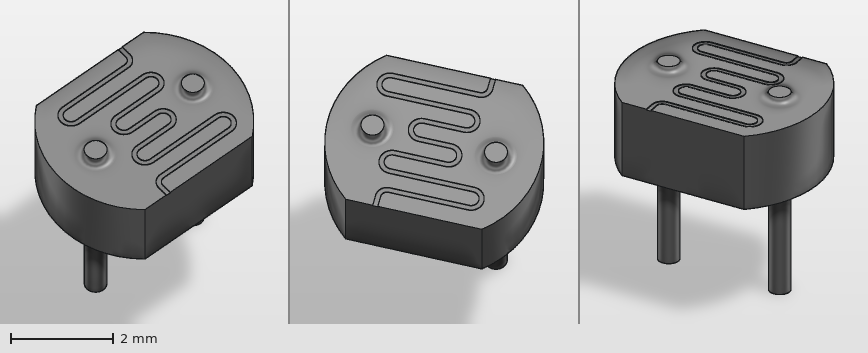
import cadquery as cq
import math

body_diameter = 4.3
body_width = 3.3
body_height = 1.65

lead_diameter = 0.45
lead_spacing = 2.495
lead_drop = 2.648
lead_rise = 0.15
solder_diameter = 0.83

groove_width = 0.102
groove_depth = 0.02
run_pitch = 0.415
corner_radius = 0.18
left_exit_y = 0.78
right_exit_y = -0.775
bend_tips_y = [-1.21, 0.905, -0.55, 0.515, -0.71, 1.36]


def make_body():
    disc = cq.Workplane("XY").circle(body_diameter / 2).extrude(body_height)
    flats = cq.Workplane("XY").rect(body_width, 2 * body_diameter).extrude(body_height)
    return disc.intersect(flats)


def make_lead():
    """Revolved lead with a concave solder fillet tangent to the body's top face."""
    lead_radius = lead_diameter / 2
    solder_radius = solder_diameter / 2
    top = body_height + lead_rise
    fillet_width = solder_radius - lead_radius
    fillet_radius = (fillet_width**2 + lead_rise**2) / (2 * lead_rise)
    half_angle = math.asin(fillet_width / fillet_radius) / 2
    fillet_middle = (
        solder_radius - fillet_radius * math.sin(half_angle),
        body_height + fillet_radius * (1 - math.cos(half_angle)),
    )
    return (
        cq.Workplane("XZ")
        .moveTo(0, -lead_drop)
        .lineTo(lead_radius, -lead_drop)
        .lineTo(lead_radius, body_height)
        .lineTo(solder_radius, body_height)
        .threePointArc(fillet_middle, (lead_radius, top))
        .lineTo(0, top)
        .close()
        .revolve(360, (0, 0, 0), (0, 1, 0))
    )


def make_groove():
    """Constant-width cutter along straight runs joined by U-bends."""
    bend_radius = run_pitch / 2
    first_run_x = -run_pitch * len(bend_tips_y) / 2
    last_run_x = -first_run_x
    path_end_x = body_width / 2 + groove_width
    diagonal = corner_radius * math.sqrt(0.5)

    path = (
        cq.Workplane("XY")
        .moveTo(-path_end_x, left_exit_y)
        .lineTo(first_run_x - corner_radius, left_exit_y)
        .threePointArc(
            (first_run_x - corner_radius + diagonal, left_exit_y - corner_radius + diagonal),
            (first_run_x, left_exit_y - corner_radius),
        )
    )
    for index, tip_y in enumerate(bend_tips_y):
        run_x = first_run_x + index * run_pitch
        toward_tip = -1 if index % 2 == 0 else 1
        bend_y = tip_y - toward_tip * bend_radius
        path = path.lineTo(run_x, bend_y).threePointArc(
            (run_x + bend_radius, tip_y), (run_x + run_pitch, bend_y)
        )
    path = (
        path.lineTo(last_run_x, right_exit_y + corner_radius)
        .threePointArc(
            (last_run_x + corner_radius - diagonal, right_exit_y + corner_radius - diagonal),
            (last_run_x + corner_radius, right_exit_y),
        )
        .lineTo(path_end_x, right_exit_y)
    )
    outline = path.wire().offset2D(groove_width / 2)
    floor_z = body_height - groove_depth
    return outline.extrude(2 * groove_depth).translate((0, 0, floor_z))


result = make_body().cut(make_groove())
for side in (-1, 1):
    result = result.union(make_lead().translate((0, side * lead_spacing / 2, 0)))